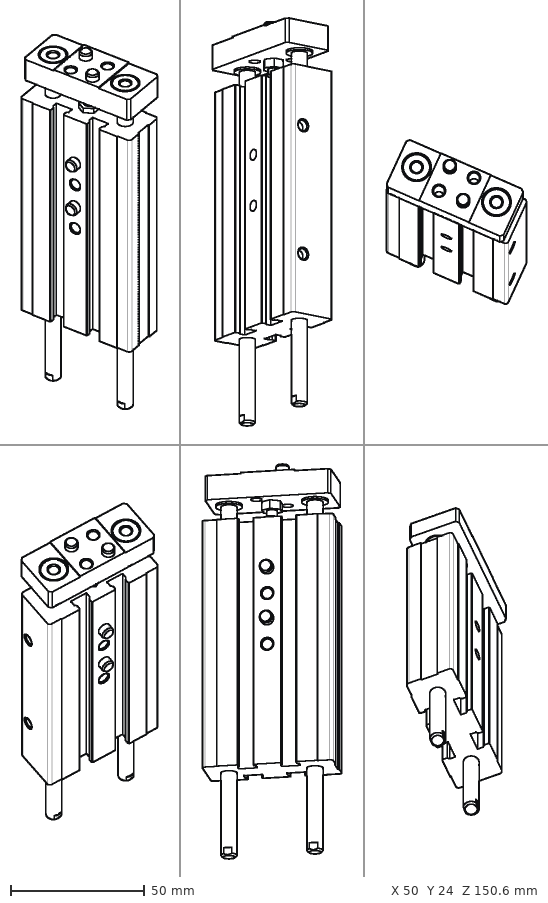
import cadquery as cq
import math


HOUSING_WIDTH = 50.0
HOUSING_HALF_DEPTH = 9.3
HOUSING_BOTTOM = 33.0
HOUSING_TOP = 129.5
HOUSING_MID_Z = (HOUSING_BOTTOM + HOUSING_TOP) / 2
HOUSING_CORNER_RADIUS = 1.2

PAD_HEIGHT = 0.3
PAD_OUTER_X = 19.3
SLOT_INNER_X = 5.1
SLOT_OUTER_X = 11.3
SLOT_MOUTH_CHAMFER = 0.3
SLOT_SHOULDER = 0.8
SLOT_FLOOR_Y = 4.5
SLOT_FLOOR_WALL = 2.3

CHANNEL_WIDTH = 6.6
CHANNEL_DEPTH = 0.5

HOLE_DIAMETER = 4.0
HOLE_CHAMFER = 0.5
HOLE_MOUTH_DIAMETER = HOLE_DIAMETER + 2 * HOLE_CHAMFER
HOLE_PITCH = 10.0
TOP_HOLE_Z = 109.6
HOLE_COUNT = 4
PORT_Y = 4.5
PORT_SPACING = 50.0
PORT_DEPTH = 3
DRILL_TIP_ANGLE = 118
PIN_DIAMETER = 5.0
PIN_CHAMFER_WIDTH = 0.5
PIN_CHAMFER_HEIGHT = 0.8
PIN_SEAT_DEPTH = 2.4
FRONT_PIN_PROTRUSION = 3.2
PLATE_PIN_PROTRUSION = 2.9

PLATE_WIDTH = 48.0
PLATE_DEPTH = 20.0
PLATE_BACK_Y = 11.5
PLATE_BOTTOM = 137.8
PLATE_FACE_Z = 147.3
PLATE_CHAMFER = 1.0
ROD_BORE_MOUTH_DIAMETER = 11.0
LAND_WIDTH = 20.5
LAND_TOP = 150.6 - PLATE_PIN_PROTRUSION

ROD_DIAMETER = 6
ROD_X = 16.4
ROD_HEAD_DIAMETER = 10.0
ROD_COLLAR_HEIGHT = 0.8
ROD_RECESS_DEPTH = 0.5
ROD_TIP_CHAMFER = 0.8
ROD_FLAT_HEIGHT = 3
ROD_FLAT_SPACING = 5.1

PISTON_ROD_DIAMETER = 4.0
HEX_CORNER_DIAMETER = 8.0
UPPER_HEX_HEIGHT = 3.3
LOWER_HEX_HEIGHT = 2.1


def box(x_min, x_max, y_min, y_max, z_min, z_max):
    size = (x_max - x_min, y_max - y_min, z_max - z_min)
    return cq.Workplane("XY").box(*size, centered=False).translate((x_min, y_min, z_min))


def upright_cylinder(diameter, x, y, z_min, z_max):
    return cq.Workplane("XY").circle(diameter / 2).extrude(z_max - z_min).translate((x, y, z_min))


def make_pin(length):
    """Locating pin standing on Z = 0, chamfered at its upper end."""
    cylinder_height = length - PIN_CHAMFER_HEIGHT
    radius = PIN_DIAMETER / 2
    tip = cq.Solid.makeCone(
        radius, radius - PIN_CHAMFER_WIDTH, PIN_CHAMFER_HEIGHT, cq.Vector(0, 0, cylinder_height)
    )
    return cq.Workplane("XY").circle(radius).extrude(cylinder_height).union(cq.Workplane(tip))


def chamfered_hole(length):
    """Cutter for a hole running down from Z = 0 with a chamfered mouth."""
    mouth = cq.Solid.makeCone(
        HOLE_DIAMETER / 2, HOLE_MOUTH_DIAMETER / 2, HOLE_CHAMFER, cq.Vector(0, 0, -HOLE_CHAMFER)
    )
    return cq.Workplane("XY").circle(HOLE_DIAMETER / 2).extrude(-length).union(cq.Workplane(mouth))


def port_cutter():
    """Chamfered blind hole with a conical drill tip, running down from Z = 0."""
    tip_height = HOLE_DIAMETER / 2 / math.tan(math.radians(DRILL_TIP_ANGLE / 2))
    tip = cq.Solid.makeCone(
        HOLE_DIAMETER / 2, 0, tip_height, cq.Vector(0, 0, -PORT_DEPTH), cq.Vector(0, 0, -1)
    )
    return chamfered_hole(PORT_DEPTH).union(cq.Workplane(tip))


def pin_seat():
    return cq.Workplane("XY").circle(PIN_DIAMETER / 2).extrude(-PIN_SEAT_DEPTH)


def face_front(shape):
    """Turn a shape built along Z so that +Z points to -Y."""
    return shape.rotate((0, 0, 0), (1, 0, 0), 90)


def face_left(shape):
    """Turn a shape built along Z so that +Z points to -X."""
    return shape.rotate((0, 0, 0), (0, 1, 0), -90)


def slot_cutter(side_x, side_y):
    """T-slot with sloping shoulders along the whole housing, between the centre rib and a pad."""
    rib_y = HOUSING_HALF_DEPTH
    pad_y = HOUSING_HALF_DEPTH + PAD_HEIGHT
    shoulder_inner_y = SLOT_FLOOR_Y + SLOT_FLOOR_WALL
    shoulder_outer_y = shoulder_inner_y + SLOT_SHOULDER
    throat_inner_x = SLOT_INNER_X + SLOT_MOUTH_CHAMFER
    throat_outer_x = SLOT_OUTER_X - SLOT_MOUTH_CHAMFER
    floor_inner_x = throat_inner_x - SLOT_SHOULDER
    floor_outer_x = throat_outer_x + SLOT_SHOULDER
    outline = [
        (SLOT_INNER_X, pad_y),
        (SLOT_INNER_X, rib_y),
        (throat_inner_x, rib_y - SLOT_MOUTH_CHAMFER),
        (throat_inner_x, shoulder_outer_y),
        (floor_inner_x, shoulder_inner_y),
        (floor_inner_x, SLOT_FLOOR_Y),
        (floor_outer_x, SLOT_FLOOR_Y),
        (floor_outer_x, shoulder_inner_y),
        (throat_outer_x, shoulder_outer_y),
        (throat_outer_x, pad_y - SLOT_MOUTH_CHAMFER),
        (SLOT_OUTER_X, pad_y),
    ]
    points = [(side_x * x, side_y * y) for x, y in outline]
    cutter = cq.Workplane("XY").polyline(points).close().extrude(HOUSING_TOP - HOUSING_BOTTOM)
    return cutter.translate((0, 0, HOUSING_BOTTOM))


front_hole_heights = [TOP_HOLE_Z - i * HOLE_PITCH for i in range(HOLE_COUNT)]
front_pin_heights = front_hole_heights[0::2]
open_hole_heights = front_hole_heights[1::2]

half_pitch = HOLE_PITCH / 2
plate_pin_places = [(-half_pitch, half_pitch), (half_pitch, -half_pitch)]
plate_open_places = [(half_pitch, half_pitch), (-half_pitch, -half_pitch)]


def make_housing():
    half_width = HOUSING_WIDTH / 2
    body = box(
        -half_width, half_width, -HOUSING_HALF_DEPTH, HOUSING_HALF_DEPTH, HOUSING_BOTTOM, HOUSING_TOP
    )
    body = body.edges("|Z").fillet(HOUSING_CORNER_RADIUS)

    pad_y = HOUSING_HALF_DEPTH + PAD_HEIGHT
    for side in (-1, 1):
        x_min, x_max = sorted((side * SLOT_OUTER_X, side * PAD_OUTER_X))
        body = body.union(box(x_min, x_max, -pad_y, pad_y, HOUSING_BOTTOM, HOUSING_TOP))
    for side_x in (-1, 1):
        for side_y in (-1, 1):
            body = body.cut(slot_cutter(side_x, side_y))

    body = body.cut(
        box(
            half_width - CHANNEL_DEPTH, half_width,
            -CHANNEL_WIDTH / 2, CHANNEL_WIDTH / 2,
            HOUSING_BOTTOM, HOUSING_TOP,
        )
    )

    for side in (-1, 1):
        body = body.cut(upright_cylinder(ROD_DIAMETER, side * ROD_X, 0, HOUSING_BOTTOM, HOUSING_TOP))

    for z in open_hole_heights:
        body = body.cut(
            face_front(chamfered_hole(2 * HOUSING_HALF_DEPTH)).translate((0, -HOUSING_HALF_DEPTH, z))
        )
    for z in front_pin_heights:
        body = body.cut(face_front(pin_seat()).translate((0, -HOUSING_HALF_DEPTH, z)))

    for z_offset in (-PORT_SPACING / 2, PORT_SPACING / 2):
        body = body.cut(
            face_left(port_cutter()).translate((-half_width, PORT_Y, HOUSING_MID_Z + z_offset))
        )
    return body


def hexagon(height):
    """Hexagonal prism standing on Z = 0, with corners pointing to the front and back."""
    return cq.Workplane("XY").polygon(6, HEX_CORNER_DIAMETER).extrude(height).rotate((0, 0, 0), (0, 0, 1), 90)


def make_plate():
    """End plate in one piece with the piston rod and its two hexagons."""
    y_min = PLATE_BACK_Y - PLATE_DEPTH
    half_width = PLATE_WIDTH / 2
    plate = box(-half_width, half_width, y_min, PLATE_BACK_Y, PLATE_BOTTOM, PLATE_FACE_Z)
    plate = plate.edges("|Z").chamfer(PLATE_CHAMFER)
    land = box(-LAND_WIDTH / 2, LAND_WIDTH / 2, y_min, PLATE_BACK_Y, PLATE_FACE_Z, LAND_TOP)
    plate = plate.union(land)

    bore_chamfer = (ROD_BORE_MOUTH_DIAMETER - ROD_HEAD_DIAMETER) / 2
    for side in (-1, 1):
        x = side * ROD_X
        plate = plate.cut(upright_cylinder(ROD_HEAD_DIAMETER, x, 0, PLATE_BOTTOM, PLATE_FACE_Z))
        mouth = cq.Solid.makeCone(
            ROD_HEAD_DIAMETER / 2, ROD_BORE_MOUTH_DIAMETER / 2, bore_chamfer,
            cq.Vector(x, 0, PLATE_FACE_Z - bore_chamfer),
        )
        plate = plate.cut(cq.Workplane(mouth))

    for x, y in plate_open_places:
        plate = plate.cut(chamfered_hole(LAND_TOP - PLATE_BOTTOM).translate((x, y, LAND_TOP)))
    for x, y in plate_pin_places:
        plate = plate.cut(pin_seat().translate((x, y, LAND_TOP)))

    plate = plate.union(upright_cylinder(PISTON_ROD_DIAMETER, 0, 0, HOUSING_TOP, PLATE_BOTTOM))
    upper_hex = hexagon(UPPER_HEX_HEIGHT).translate((0, 0, PLATE_BOTTOM - UPPER_HEX_HEIGHT))
    lower_hex = hexagon(LOWER_HEX_HEIGHT).translate((0, 0, HOUSING_TOP))
    return plate.union(upper_hex).union(lower_hex)


def make_guide_rod(x):
    rod = upright_cylinder(ROD_DIAMETER, x, 0, 0, PLATE_BOTTOM).faces("<Z").chamfer(ROD_TIP_CHAMFER)

    radius = ROD_DIAMETER / 2
    half_flats = ROD_FLAT_SPACING / 2
    rod = rod.cut(box(x - radius, x + radius, half_flats, radius, 0, ROD_FLAT_HEIGHT))
    rod = rod.cut(box(x - radius, x + radius, -radius, -half_flats, 0, ROD_FLAT_HEIGHT))

    head_bottom = PLATE_BOTTOM - ROD_COLLAR_HEIGHT
    rod = rod.union(upright_cylinder(ROD_HEAD_DIAMETER, x, 0, head_bottom, PLATE_FACE_Z))
    return rod.cut(chamfered_hole(ROD_RECESS_DEPTH).translate((x, 0, PLATE_FACE_Z)))


def make_front_pin(z):
    pin = make_pin(PIN_SEAT_DEPTH + FRONT_PIN_PROTRUSION)
    return face_front(pin).translate((0, -HOUSING_HALF_DEPTH + PIN_SEAT_DEPTH, z))


def make_plate_pin(x, y):
    pin = make_pin(PIN_SEAT_DEPTH + PLATE_PIN_PROTRUSION)
    return pin.translate((x, y, LAND_TOP - PIN_SEAT_DEPTH))


housing = make_housing()
plate = make_plate()
guide_rods = [make_guide_rod(side * ROD_X) for side in (-1, 1)]
front_pins = [make_front_pin(z) for z in front_pin_heights]
plate_pins = [make_plate_pin(x, y) for x, y in plate_pin_places]

bodies = [housing, plate, *guide_rods, *front_pins, *plate_pins]
result = cq.Compound.makeCompound([body.val() for body in bodies])